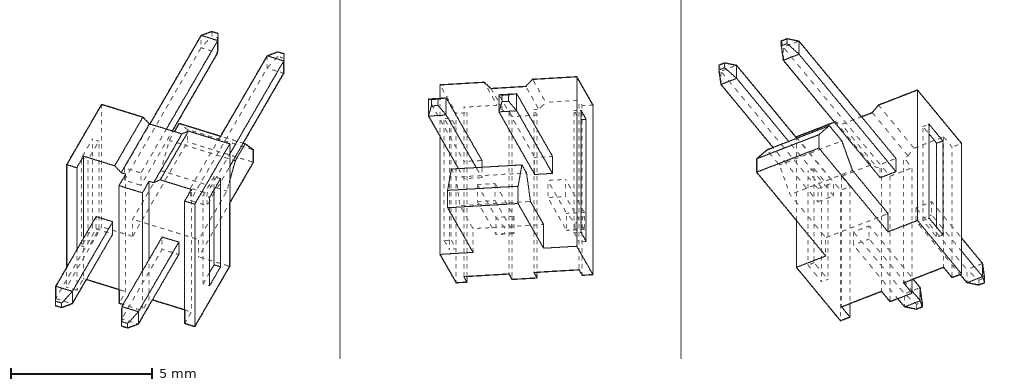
import cadquery as cq


housing_width = 4.93
housing_length = 3.18
housing_height = 6.35
recess_depth = 0.61
side_wall = 0.39
centre_rib_width = 0.9

notch_top_width = 1.75
notch_floor_width = 1.25
notch_depth = (notch_top_width - notch_floor_width) / 2

pocket_length = 0.99
pocket_height = 4.57
pocket_depth = 0.25
pocket_rear_offset = 0.84
pocket_bottom = 0.8

pin_pitch = 2.54
pin_size = 0.64
pin_tip_size = 0.24
pin_taper_length = 0.5
pin_length = 14.22
pin_rear_length = 7.48
pin_height = 3.1

latch_width = pin_pitch
latch_length = 4.98
latch_thickness = 0.89
latch_hook_height = 1.7
latch_end_height = 0.65
latch_ramp_length = 0.75
latch_crest_length = 0.9
latch_catch_length = 0.77


def make_housing():
    body = cq.Workplane("XY").box(
        housing_width, housing_length, housing_height, centered=(True, False, False)
    ).translate((0, -housing_length, 0))

    recess_width = (housing_width - centre_rib_width) / 2 - side_wall
    recess_centre = (centre_rib_width + recess_width) / 2
    for side in (-1, 1):
        recess = cq.Workplane("XY").box(
            recess_width, recess_depth, housing_height, centered=(True, False, False)
        ).translate((side * recess_centre, -housing_length, 0))
        body = body.cut(recess)
    return body


def make_key_notch():
    floor = housing_height - notch_depth
    return (
        cq.Workplane("XZ")
        .moveTo(-notch_top_width / 2, housing_height)
        .lineTo(-notch_floor_width / 2, floor)
        .lineTo(notch_floor_width / 2, floor)
        .lineTo(notch_top_width / 2, housing_height)
        .close()
        .extrude(housing_length)
    )


def make_side_pocket(side):
    return cq.Workplane("XY").box(
        pocket_depth, pocket_length, pocket_height, centered=(True, False, False)
    ).translate((
        side * (housing_width - pocket_depth) / 2,
        -pocket_rear_offset - pocket_length,
        pocket_bottom,
    ))


def make_latch():
    crest_rear = latch_length - latch_ramp_length
    crest_front = crest_rear - latch_crest_length
    arm_rear = crest_front - latch_catch_length
    return (
        cq.Workplane("YZ")
        .polyline([
            (0, 0),
            (latch_length, 0),
            (latch_length, latch_end_height),
            (crest_rear, latch_hook_height),
            (crest_front, latch_hook_height),
            (arm_rear, latch_thickness),
            (0, latch_thickness),
        ])
        .close()
        .extrude(latch_width / 2, both=True)
    )


def make_pin():
    """Square pin with tapered ends, centred on the origin along Y."""
    shank_length = pin_length - 2 * pin_taper_length
    pin = cq.Workplane("XY").box(pin_size, shank_length, pin_size)
    for end_face in ("<Y", ">Y"):
        taper = (
            pin.faces(end_face)
            .workplane()
            .rect(pin_size, pin_size)
            .workplane(offset=pin_taper_length)
            .rect(pin_tip_size, pin_tip_size)
            .loft(combine=False)
        )
        pin = pin.union(taper)
    return pin


result = make_housing().cut(make_key_notch())
for side in (-1, 1):
    result = result.cut(make_side_pocket(side))

result = result.union(make_latch())

pin_centre_y = pin_rear_length - pin_length / 2
for side in (-1, 1):
    pin = make_pin().translate((side * pin_pitch / 2, pin_centre_y, pin_height))
    result = result.union(pin)